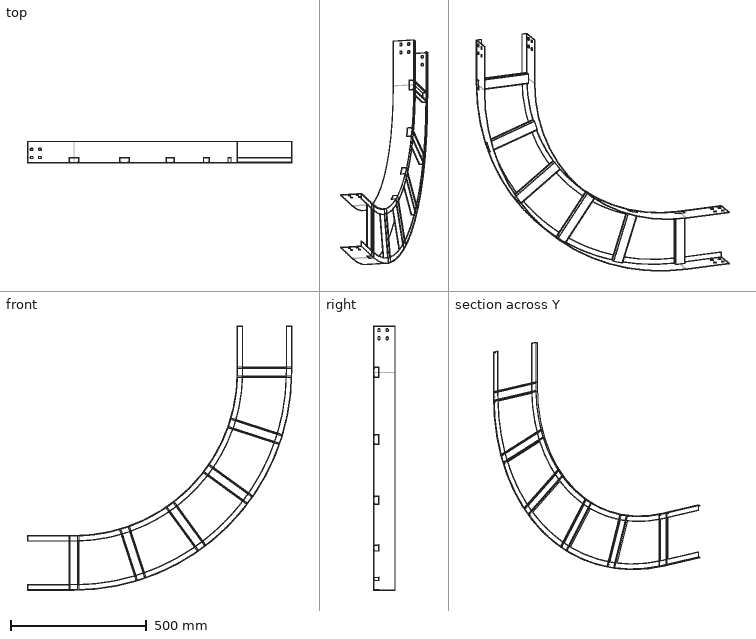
import cadquery as cq
import math

overall_size = 973.0
rail_height = 80.0
straight_length = 170.0
rail_spacing = 201.0
sheet = 2.0
flange_width = 20.0

rung_count = 6
rung_width = 38.0
rung_depth = 18.5
rung_sheet = 2.0
rung_lip = 5.0

slots_per_side = 2
slot_length = 10.0
slot_width = 7.0
slot_corner_radius = 2.0
slot_spacing = 30.0
slot_end_offset = 15.0
slot_edge_offset = 20.0

bend_angle = 90.0
centre_x = straight_length
centre_z = overall_size - straight_length
outer_radius = overall_size - straight_length
inner_radius = outer_radius - rail_spacing


def bent_strip(small_radius, large_radius, depth):
    """Band with two straight ends and a quarter bend, standing on Y = 0."""
    diagonal = math.sqrt(0.5)
    small_mid = (centre_x + small_radius * diagonal, centre_z - small_radius * diagonal)
    large_mid = (centre_x + large_radius * diagonal, centre_z - large_radius * diagonal)
    return (
        cq.Workplane("XZ")
        .moveTo(0, centre_z - large_radius)
        .lineTo(centre_x, centre_z - large_radius)
        .threePointArc(large_mid, (centre_x + large_radius, centre_z))
        .lineTo(centre_x + large_radius, overall_size)
        .lineTo(centre_x + small_radius, overall_size)
        .lineTo(centre_x + small_radius, centre_z)
        .threePointArc(small_mid, (centre_x, centre_z - small_radius))
        .lineTo(0, centre_z - small_radius)
        .close()
        .extrude(-depth)
    )


def inner_rail():
    """Angle rail on the inside of the bend, flange pointing outward."""
    web = bent_strip(inner_radius, inner_radius + sheet, rail_height)
    flange = bent_strip(inner_radius, inner_radius + flange_width, sheet)
    return web.union(flange)


def outer_rail():
    """Angle rail on the outside of the bend, flange pointing inward."""
    web = bent_strip(outer_radius - sheet, outer_radius, rail_height)
    flange = bent_strip(outer_radius - flange_width, outer_radius, sheet)
    return web.union(flange)


def rung(angle):
    """Lipped channel running radially between the webs, resting on the flanges."""
    start_radius = inner_radius + sheet / 2
    length = rail_spacing - sheet
    half_width = rung_width / 2
    back = sheet + rung_depth
    channel = (
        cq.Workplane("XY")
        .moveTo(-half_width, sheet)
        .lineTo(-half_width, back)
        .lineTo(half_width, back)
        .lineTo(half_width, sheet)
        .lineTo(half_width - rung_lip, sheet)
        .lineTo(half_width - rung_lip, sheet + rung_sheet)
        .lineTo(half_width - rung_sheet, sheet + rung_sheet)
        .lineTo(half_width - rung_sheet, back - rung_sheet)
        .lineTo(-half_width + rung_sheet, back - rung_sheet)
        .lineTo(-half_width + rung_sheet, sheet + rung_sheet)
        .lineTo(-half_width + rung_lip, sheet + rung_sheet)
        .lineTo(-half_width + rung_lip, sheet)
        .close()
        .extrude(-length)
        .translate((0, 0, -start_radius))
    )
    return channel.rotate((0, 0, 0), (0, 1, 0), -angle).translate((centre_x, 0, centre_z))


def slot_cutters():
    """Round-cornered slots through both webs, at the horizontal and the vertical end."""
    centres = [
        (slot_end_offset + column * slot_spacing, slot_edge_offset + row * slot_spacing)
        for column in range(slots_per_side)
        for row in range(slots_per_side)
    ]
    horizontal_end = (
        cq.Workplane("XY")
        .pushPoints(centres)
        .rect(slot_length, slot_width)
        .extrude(overall_size)
        .edges("|Z")
        .fillet(slot_corner_radius)
    )
    vertical_end = (
        cq.Workplane("YZ")
        .pushPoints([(y, overall_size - x) for x, y in centres])
        .rect(slot_width, slot_length)
        .extrude(overall_size)
        .edges("|X")
        .fillet(slot_corner_radius)
    )
    return horizontal_end.union(vertical_end)


result = inner_rail().union(outer_rail()).cut(slot_cutters())
for index in range(rung_count):
    result = result.union(rung(index * bend_angle / (rung_count - 1)))